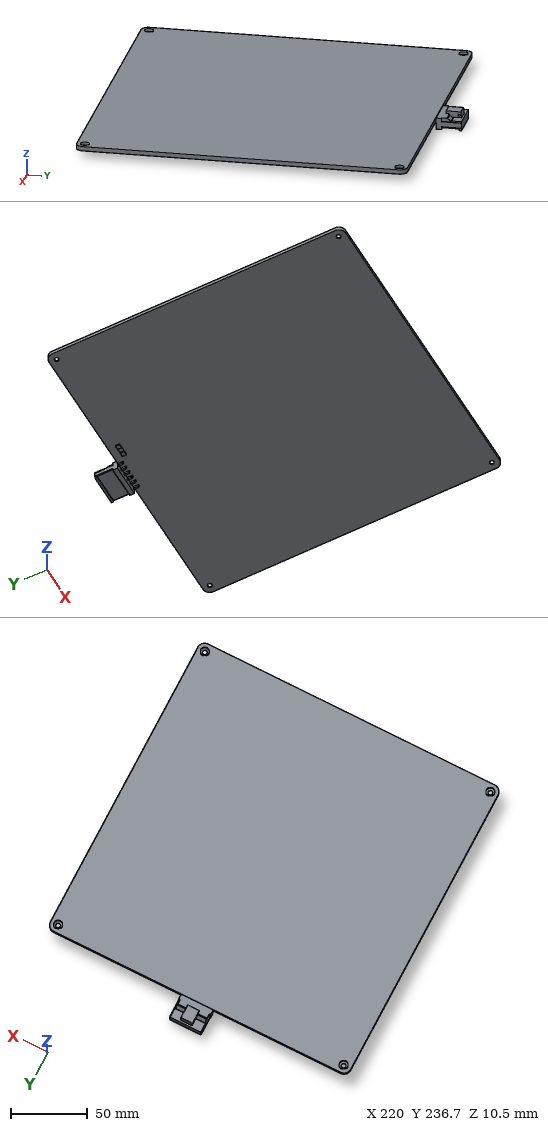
import cadquery as cq

PLATE_SIZE = 220.0
PLATE_THICKNESS = 3.0
CORNER_RADIUS = 5.0
HOLE_INSET = 5.5
HOLE_DIAMETER = 3.0
COUNTERBORE_DIAMETER = 6.0
COUNTERBORE_DEPTH = 2.0

OVERALL_LENGTH = 236.7
CONNECTOR_WIDTH = 23.5
CONNECTOR_LENGTH = OVERALL_LENGTH - PLATE_SIZE
CONNECTOR_BOTTOM = -5.5
HOUSING_TOP = 2.4
FLANGE_LENGTH = 3.5
SIDE_PANEL_BOTTOM = -3.5
SIDE_PANEL_TOP = 0
CORE_WIDTH = 22.5
CORE_BOTTOM = -4.3
LIP_LENGTH = 1.7

SHOULDER_WIDTH = 21.5
SHOULDER_REACH = 6.9
LEDGE_REACH = 7.5
LEDGE_TOP = 2.1
RAMP_BOTTOM = 0.2
DECK_REACH = 10.0
DECK_TOP = 1.0

LATCH_WIDTH = 8.5
LATCH_START = 5.2
LATCH_END = 15.6
LATCH_TOP = 5.0
LATCH_UNDERSIDE = 3.0
LATCH_END_LEAN = 0.7
LATCH_WINDOW_START = 13.0
LATCH_WINDOW_END = 14.5
LATCH_WINDOW_BOTTOM = 2.1

TAIL_COUNT = 6
TAIL_PITCH = 4.3
TAIL_WIDTH = 1.2
TAIL_LENGTH = 4.0
TAIL_HEIGHT = 1.7
TAIL_BEVEL = 0.7

COMPONENT_X = -20.1
COMPONENT_EDGE_GAP = 5.7
FOOT_SIZE = 3.0
FOOT_SPACING = 6.5
FOOT_HEIGHT = 1.0
WEB_THICKNESS = 0.12

PLATE_EDGE = PLATE_SIZE / 2


def box(x_centre, width, y_start, y_end, z_bottom, z_top):
    """Box centred on x_centre, between two Y planes and two Z planes."""
    block = cq.Workplane("XY").box(width, y_end - y_start, z_top - z_bottom, centered=(True, False, False))
    return block.translate((x_centre, y_start, z_bottom))


def side_profile(x_centre, width, points):
    """Extrude a (distance past the plate edge, Z) outline along X."""
    outline = [(PLATE_EDGE + reach, z) for reach, z in points]
    solid = cq.Workplane("YZ").polyline(outline).close().extrude(width / 2, both=True)
    return solid.translate((x_centre, 0, 0))


def make_plate():
    plate = cq.Workplane("XY").box(PLATE_SIZE, PLATE_SIZE, PLATE_THICKNESS, centered=(True, True, False))
    plate = plate.edges("|Z").fillet(CORNER_RADIUS)
    hole_spacing = PLATE_SIZE - 2 * HOLE_INSET
    return (
        plate.faces(">Z").workplane()
        .rect(hole_spacing, hole_spacing, forConstruction=True).vertices()
        .cboreHole(HOLE_DIAMETER, COUNTERBORE_DIAMETER, COUNTERBORE_DEPTH)
    )


def make_housing():
    start = PLATE_EDGE
    end = PLATE_EDGE + CONNECTOR_LENGTH
    flange = box(0, CONNECTOR_WIDTH, start, start + FLANGE_LENGTH, CONNECTOR_BOTTOM, HOUSING_TOP)
    side_panels = box(0, CONNECTOR_WIDTH, start, end, SIDE_PANEL_BOTTOM, SIDE_PANEL_TOP)
    shoulder = side_profile(
        0,
        SHOULDER_WIDTH,
        [
            (FLANGE_LENGTH, SIDE_PANEL_TOP),
            (FLANGE_LENGTH, HOUSING_TOP),
            (SHOULDER_REACH, HOUSING_TOP),
            (SHOULDER_REACH, LEDGE_TOP),
            (LEDGE_REACH, LEDGE_TOP),
            (DECK_REACH, RAMP_BOTTOM),
            (DECK_REACH, SIDE_PANEL_TOP),
        ],
    )
    core = side_profile(
        0,
        CORE_WIDTH,
        [
            (0, CORE_BOTTOM),
            (CONNECTOR_LENGTH - LIP_LENGTH, CORE_BOTTOM),
            (CONNECTOR_LENGTH - LIP_LENGTH, CONNECTOR_BOTTOM),
            (CONNECTOR_LENGTH, CONNECTOR_BOTTOM),
            (CONNECTOR_LENGTH, DECK_TOP),
            (DECK_REACH, DECK_TOP),
            (DECK_REACH, SIDE_PANEL_TOP),
            (0, SIDE_PANEL_TOP),
        ],
    )
    return core.union(flange).union(side_panels).union(shoulder)


def make_latch():
    lever = side_profile(
        0,
        LATCH_WIDTH,
        [
            (SHOULDER_REACH, SIDE_PANEL_TOP),
            (SHOULDER_REACH, LATCH_UNDERSIDE),
            (LATCH_START, LATCH_UNDERSIDE),
            (LATCH_START, LATCH_TOP),
            (LATCH_END - LATCH_END_LEAN, LATCH_TOP),
            (LATCH_END, SIDE_PANEL_TOP),
        ],
    )
    window = box(
        0,
        LATCH_WIDTH,
        PLATE_EDGE + LATCH_WINDOW_START,
        PLATE_EDGE + LATCH_WINDOW_END,
        LATCH_WINDOW_BOTTOM,
        LATCH_UNDERSIDE,
    )
    return lever.cut(window)


def make_tail(x_centre):
    return side_profile(
        x_centre,
        TAIL_WIDTH,
        [
            (0, 0),
            (-TAIL_LENGTH, 0),
            (TAIL_BEVEL - TAIL_LENGTH, -TAIL_HEIGHT),
            (0, -TAIL_HEIGHT),
        ],
    )


def make_connector():
    connector = make_housing().union(make_latch())
    for index in range(TAIL_COUNT):
        offset = index - (TAIL_COUNT - 1) / 2
        connector = connector.union(make_tail(offset * TAIL_PITCH))
    return connector


def make_component():
    y_end = PLATE_EDGE - COMPONENT_EDGE_GAP
    y_start = y_end - FOOT_SIZE
    component = box(COMPONENT_X, FOOT_SPACING, y_start, y_end, -WEB_THICKNESS, 0)
    for side in (-1, 1):
        foot_x = COMPONENT_X + side * FOOT_SPACING / 2
        component = component.union(box(foot_x, FOOT_SIZE, y_start, y_end, -FOOT_HEIGHT, 0))
    return component


plate = make_plate()
connector = make_connector()
component = make_component()

result = cq.Compound.makeCompound([plate.val(), connector.val(), component.val()])